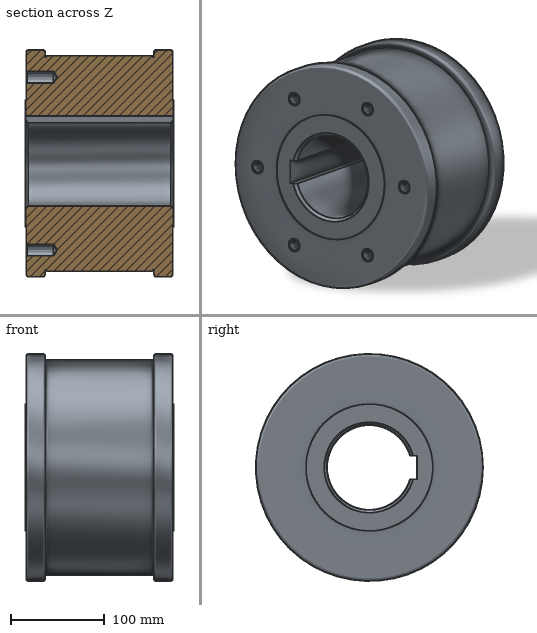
import cadquery as cq
import math

flange_radius = 121.0
barrel_radius = 115.0
overall_width = 158.0
hub_face_radius = 67.5
hub_face_height = 1.0
flange_width = 20.3
flange_round = 3.0
barrel_round = 3.0

bore_radius = 45.0
bore_chamfer = 3.1
key_width = 25.0
key_reach = 50.5

hole_count = 6
hole_circle_radius = 92.0
hole_radius = 6.0
hole_mouth_radius = 7.0
hole_depth = 29.0
drill_point_angle = 118.0

half_width = overall_width / 2
flange_face = half_width - hub_face_height
flange_inner = flange_face - flange_width


def disc(radius, width, start):
    """Solid disc about the X axis, from x = start toward +X."""
    return cq.Workplane("YZ").workplane(offset=start).circle(radius).extrude(width)


def drum():
    """Barrel with rounded ends, two flanges with rounded rims, and the raised hub faces."""
    barrel = disc(barrel_radius, 2 * flange_inner, -flange_inner).edges().fillet(barrel_round)
    body = disc(hub_face_radius, overall_width, -half_width).union(barrel)
    for start in (-flange_face, flange_inner):
        flange = disc(flange_radius, flange_width, start).edges().fillet(flange_round)
        body = body.union(flange)
    return body


def bore():
    """Through bore, widened by a chamfer at each end."""
    mouth_radius = bore_radius + bore_chamfer
    profile = [
        (-half_width, 0),
        (-half_width, mouth_radius),
        (-half_width + bore_chamfer, bore_radius),
        (half_width - bore_chamfer, bore_radius),
        (half_width, mouth_radius),
        (half_width, 0),
    ]
    return cq.Workplane("XY").polyline(profile).close().revolve(360, (0, 0, 0), (1, 0, 0))


def keyway():
    """Rectangular slot through the full width, on the +Y side of the bore."""
    return cq.Workplane("XY").box(overall_width, key_reach, key_width).translate((0, key_reach / 2, 0))


def blind_hole(angle):
    """Countersunk blind hole with a conical bottom, at an angle about X from +Y."""
    mouth = -flange_face
    countersink = hole_mouth_radius - hole_radius
    bottom = mouth + hole_depth
    tip = bottom + hole_radius / math.tan(math.radians(drill_point_angle / 2))
    profile = [
        (mouth, 0),
        (mouth, hole_mouth_radius),
        (mouth + countersink, hole_radius),
        (bottom, hole_radius),
        (tip, 0),
    ]
    hole = cq.Workplane("XY").polyline(profile).close().revolve(360, (0, 0, 0), (1, 0, 0))
    return hole.translate((0, hole_circle_radius, 0)).rotate((0, 0, 0), (1, 0, 0), angle)


result = drum().cut(bore()).cut(keyway())
for index in range(hole_count):
    result = result.cut(blind_hole(index * 360 / hole_count))